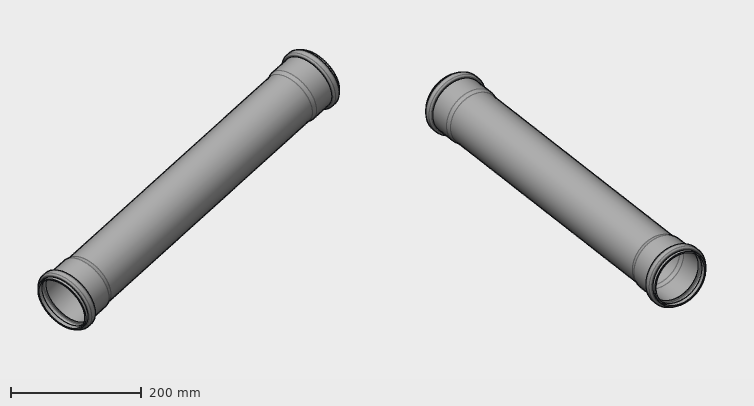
import cadquery as cq
import math

length = 616.0

pipe_outer = 90.5 / 2
pipe_bore = 85.5 / 2
socket_outer = 95.0 / 2
socket_bore = 90.0 / 2
bead_outer = 105.0 / 2
groove_outer = 100.5 / 2

bead_start = 5.0
bead_end = 19.0
taper_start = 56.0
taper_end = 63.5

bead_corner = 3.0
bead_wall = bead_outer - groove_outer
groove_corner = bead_corner - bead_wall
groove_start = bead_start + bead_wall
groove_end = bead_end - bead_wall


def rounded_collar(outer_radius, start, end, corner):
    """Solid disc about the Y axis with both rims rounded."""
    flat_radius = outer_radius - corner
    diagonal = corner * math.sqrt(0.5)
    return (
        cq.Workplane("XY")
        .moveTo(0, start)
        .lineTo(flat_radius, start)
        .threePointArc(
            (flat_radius + diagonal, start + corner - diagonal),
            (outer_radius, start + corner),
        )
        .lineTo(outer_radius, end - corner)
        .threePointArc(
            (flat_radius + diagonal, end - corner + diagonal),
            (flat_radius, end),
        )
        .lineTo(0, end)
        .close()
        .revolve(360, (0, 0, 0), (0, 1, 0))
    )


def socketed_rod(pipe_radius, socket_radius):
    """Solid rod with a wider stretch at each end, tapering down to the pipe radius."""
    return (
        cq.Workplane("XY")
        .polyline([
            (0, 0),
            (socket_radius, 0),
            (socket_radius, taper_start),
            (pipe_radius, taper_end),
            (pipe_radius, length - taper_end),
            (socket_radius, length - taper_start),
            (socket_radius, length),
            (0, length),
        ])
        .close()
        .revolve(360, (0, 0, 0), (0, 1, 0))
    )


def add_end_collars(rod, outer_radius, start, end, corner):
    """Join one rounded collar to each end of a rod."""
    for near, far in ((start, end), (length - end, length - start)):
        rod = rod.union(rounded_collar(outer_radius, near, far, corner))
    return rod


outside = add_end_collars(
    socketed_rod(pipe_outer, socket_outer), bead_outer, bead_start, bead_end, bead_corner
)
inside = add_end_collars(
    socketed_rod(pipe_bore, socket_bore), groove_outer, groove_start, groove_end, groove_corner
)

result = outside.cut(inside).translate((0, -length / 2, 0))